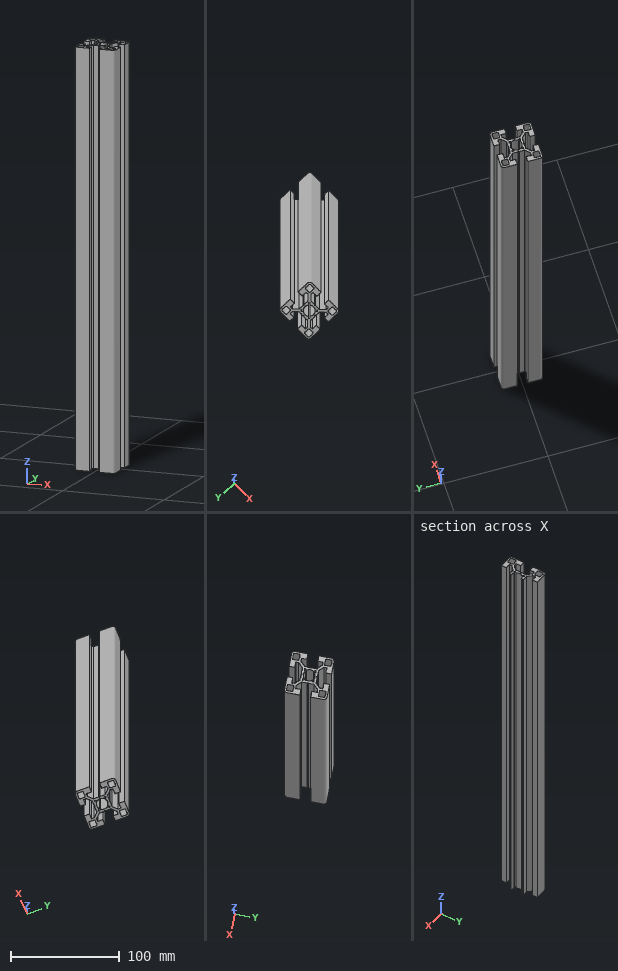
import cadquery as cq
import math

SIZE = 40.0
LENGTH = 400.0
CORNER_RADIUS = 3.0

SLOT_OPENING = 10.0
LIP_THICKNESS = 5.5
SLOT_INNER_WIDTH = 20.0
GROOVE_WIDTH = 1.2
GROOVE_DEPTH = 0.6

CORE_WIDTH = 15.1
STRUT_THICKNESS = 2.5

CENTRE_BORE_DIAMETER = 10.75
NOTCH_SPAN = 15.0
NOTCH_WIDTH = 1.3
NOTCH_ANGLES = (45, 135)

HOLLOW_WIDTH = 6.0
HOLLOW_RADIUS = 1.0
HOLLOW_INSET = 5.0

half_size = SIZE / 2
half_opening = SLOT_OPENING / 2
half_inner = SLOT_INNER_WIDTH / 2
half_groove = GROOVE_WIDTH / 2
lip_underside = half_size - LIP_THICKNESS
slot_floor = CORE_WIDTH / 2
strut_offset = STRUT_THICKNESS / math.sqrt(2)
half_floor = slot_floor - strut_offset
shoulder = half_inner + strut_offset
hollow_spacing = SIZE - 2 * HOLLOW_INSET


def make_body():
    """Square bar with rounded long edges."""
    return cq.Workplane("XY").rect(SIZE, SIZE).extrude(LENGTH).edges("|Z").fillet(CORNER_RADIUS)


def make_slot(angle):
    """T-slot cutter opening toward +Y, with a V-groove in its floor, turned about Z by the angle."""
    right_side = [
        (half_opening, half_size),
        (half_opening, lip_underside),
        (half_inner, lip_underside),
        (half_inner, shoulder),
        (half_floor, slot_floor),
        (half_groove, slot_floor),
    ]
    groove_bottom = [(0, slot_floor - GROOVE_DEPTH)]
    left_side = [(-x, y) for x, y in reversed(right_side)]
    outline = right_side + groove_bottom + left_side
    slot = cq.Workplane("XY").polyline(outline).close().extrude(LENGTH)
    return slot.rotate((0, 0, 0), (0, 0, 1), angle)


def make_centre_bore():
    """Round bore widened by notches that cross it along both diagonals."""
    bore = cq.Workplane("XY").circle(CENTRE_BORE_DIAMETER / 2).extrude(LENGTH)
    for angle in NOTCH_ANGLES:
        notch = cq.Workplane("XY").slot2D(NOTCH_SPAN, NOTCH_WIDTH, angle).extrude(LENGTH)
        bore = bore.union(notch)
    return bore


def make_corner_hollows():
    """Four rounded square hollows, one in each corner of the profile."""
    return (
        cq.Workplane("XY")
        .rarray(hollow_spacing, hollow_spacing, 2, 2)
        .rect(HOLLOW_WIDTH, HOLLOW_WIDTH)
        .extrude(LENGTH)
        .edges("|Z")
        .fillet(HOLLOW_RADIUS)
    )


result = make_body()
for quarter_turn in range(4):
    result = result.cut(make_slot(90 * quarter_turn))
result = result.cut(make_centre_bore())
result = result.cut(make_corner_hollows())